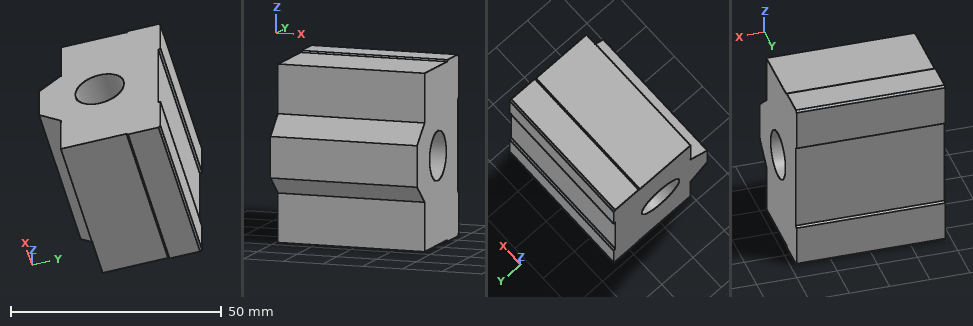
import cadquery as cq

length = 37.0
depth = 30.0
height = 44.0

pad_step_z = 0.4
pad_step_y = 0.55
pad_depth = 8.0
corner_chamfer = 0.5
recess_half_opening = 11.4
recess_half_floor = 11.0

nose_projection = 5.4
nose_half_base = 9.6
nose_half_tip = 5.0

bore_diameter = 12.0

back_y = depth / 2
nose_tip_y = -depth / 2
front_y = nose_tip_y + nose_projection
pad_z = height / 2
body_z = pad_z - pad_step_z
pad_bevel_start_y = back_y - pad_depth
pad_bevel_end_y = pad_bevel_start_y - pad_step_z

upper_outline = [
    (nose_tip_y, nose_half_tip),
    (front_y, nose_half_base),
    (front_y, body_z),
    (pad_bevel_end_y, body_z),
    (pad_bevel_start_y, pad_z),
    (back_y - corner_chamfer, pad_z),
    (back_y, pad_z - corner_chamfer),
    (back_y, recess_half_opening),
    (back_y - pad_step_y, recess_half_floor),
]
lower_outline = [(y, -z) for y, z in reversed(upper_outline)]

body = (
    cq.Workplane("YZ")
    .polyline(upper_outline + lower_outline)
    .close()
    .extrude(length / 2, both=True)
)

bore = cq.Workplane("YZ").circle(bore_diameter / 2).extrude(length / 2, both=True)

result = body.cut(bore)